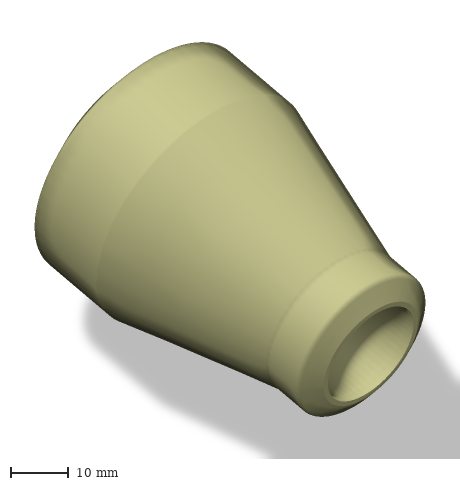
import cadquery as cq
import math

length = 64.0
large_diameter = 48.3
large_wall = 8.8
small_diameter = 30.0
small_wall = 5.0

taper_start = 20.1
small_end_length = 10.0
taper_end = length - small_end_length

large_bore_depth = 12.0

bevel_angle = 30.0
large_land = 2.0
small_land = 1.0
bevel_fillet = 1.0
taper_fillet = 1.0
mouth_fillet = 0.3

large_radius = large_diameter / 2
small_radius = small_diameter / 2
large_bore_radius = large_radius - large_wall
small_bore_radius = small_radius - small_wall
large_land_radius = large_bore_radius + large_land
small_land_radius = small_bore_radius + small_land


def bevel_length(outer_radius, land_radius):
    """Axial length of a bevel from the land out to the outer surface."""
    return (outer_radius - land_radius) * math.tan(math.radians(bevel_angle))


def revolve_about_x(points):
    """Solid of revolution from (x, radius) points."""
    return cq.Workplane("XY").polyline(points).close().revolve(360, (0, 0, 0), (1, 0, 0))


def fillet_circle(solid, x, circle_radius, fillet_radius):
    """Round the circular edge of the given radius at station x."""
    margin = 0.01
    box = cq.selectors.BoxSelector(
        (x - margin, -circle_radius - margin, -circle_radius - margin),
        (x + margin, circle_radius + margin, circle_radius + margin),
        boundingbox=True,
    )
    return solid.edges("%CIRCLE").edges(box).fillet(fillet_radius)


def make_outer_body():
    large_bevel_end = bevel_length(large_radius, large_land_radius)
    small_bevel_start = length - bevel_length(small_radius, small_land_radius)
    body = revolve_about_x([
        (0, 0),
        (0, large_land_radius),
        (large_bevel_end, large_radius),
        (taper_start, large_radius),
        (taper_end, small_radius),
        (small_bevel_start, small_radius),
        (length, small_land_radius),
        (length, 0),
    ])
    body = fillet_circle(body, large_bevel_end, large_radius, bevel_fillet)
    body = fillet_circle(body, taper_start, large_radius, taper_fillet)
    body = fillet_circle(body, taper_end, small_radius, taper_fillet)
    return fillet_circle(body, small_bevel_start, small_radius, bevel_fillet)


def make_bore():
    return revolve_about_x([
        (0, 0),
        (0, large_bore_radius),
        (large_bore_depth, large_bore_radius),
        (taper_end, small_bore_radius),
        (length, small_bore_radius),
        (length, 0),
    ])


result = make_outer_body().cut(make_bore())
result = fillet_circle(result, 0, large_bore_radius, mouth_fillet)